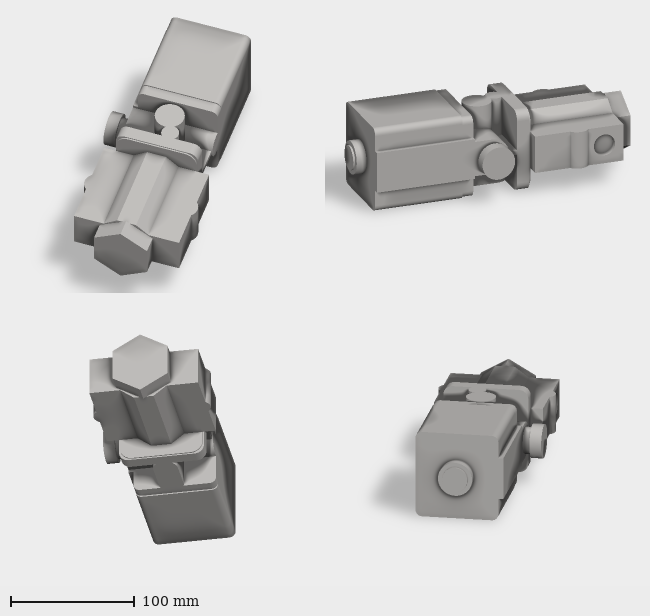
import cadquery as cq


nut_end = 14.3
block_end = 90.5
spacer_end = 91.7
flange_end = 102.5
motor_start = 139.2
motor_shoulder = 148.4
motor_end = 224.0
gland_end = 232.4
total_length = 234.0

nut_across_flats = 45.2
block_left = -44.5
block_right = 45.2
block_half_height = 16.0
ridge_half_width = 19.2
ridge_flat_left = -7.7
ridge_flat_right = 8.5
ridge_half_height = 24.3
boss_radius = 10.0
boss_offset = 38.1
boss_y = (nut_end + block_end) / 2
port_radius = 9.1
port_y = 30.7
port_depth = 5.1

flange_size = 70.0
flange_center_x = 0.2
flange_corner = 7.7
spacer_inset = 1.0
spacer_corner = 10.0

motor_center_x = 2.0
motor_width = 68.0
motor_height = 72.0
shoulder_height = flange_size
motor_corner = 5.4
band_left = -36.0
band_half_height = 17.3
gland_radius = 14.0
gland_tip_radius = 10.3

web_half_height = 1.9
stem_x = 0.2
stem_y = 124.5
stem_radius = 12.2
pin_x = 6.3
pin_y = 107.5
pin_radius = 7.3
body_top = flange_size / 2
inlet_radius = 15.0
outlet_radius = 10.0
outlet_y = 135.7
outlet_right = motor_center_x + motor_width / 2
duct_front_y = 110.2

neck_radius = 11.0
wheel_radius = 14.0
wheel_right = -42.1
wheel_left = -51.7


def box(x0, x1, y0, y1, z0, z1):
    """Box between two limits on each axis."""
    return cq.Workplane("XY").box(x1 - x0, y1 - y0, z1 - z0, centered=False).translate((x0, y0, z0))


def section(y):
    """Sketch plane across the Y axis: local x is X, local y is Z; negative depths run toward +Y."""
    return cq.Workplane("XZ", origin=(0, y, 0))


def rounded_bar(center_x, width, height, corner, y0, y1):
    """Bar along Y with four rounded long edges."""
    bar = section(y0).center(center_x, 0).rect(width, height).extrude(y0 - y1)
    return bar.edges("|Y").fillet(corner)


def rod_x(radius, y, x0, x1):
    """Round rod along X at Z = 0."""
    return cq.Workplane("YZ", origin=(x0, y, 0)).circle(radius).extrude(x1 - x0)


def rod_y(radius, x, y0, y1):
    """Round rod along Y at Z = 0."""
    return section(y0).center(x, 0).circle(radius).extrude(y0 - y1)


def rod_z(radius, x, y, z0, z1):
    """Round rod along Z."""
    return cq.Workplane("XY", origin=(x, y, z0)).circle(radius).extrude(z1 - z0)


def passage(radius, y, x0, x1):
    """Passage along X: round toward the flange, flat-sided back to the motor."""
    back = box(x0, x1, y, motor_start, -radius, radius)
    return rod_x(radius, y, x0, x1).union(back)


def hex_nut():
    """Nut with one pair of flats facing -X and +X."""
    return section(0).polygon(6, nut_across_flats, circumscribed=True).extrude(-nut_end)


def port_block():
    """Block with an eight-sided ridge, a round boss at each end and a blind port on the left."""
    block = box(block_left, block_right, nut_end, block_end, -block_half_height, block_half_height)
    ridge_outline = [
        (-ridge_half_width, block_half_height),
        (ridge_flat_left, ridge_half_height),
        (ridge_flat_right, ridge_half_height),
        (ridge_half_width, block_half_height),
        (ridge_half_width, -block_half_height),
        (ridge_flat_right, -ridge_half_height),
        (ridge_flat_left, -ridge_half_height),
        (-ridge_half_width, -block_half_height),
    ]
    block = block.union(section(nut_end).polyline(ridge_outline).close().extrude(nut_end - block_end))
    for x in (-boss_offset, boss_offset):
        block = block.union(rod_z(boss_radius, x, boss_y, -block_half_height, block_half_height))
    return block.cut(rod_x(port_radius, port_y, block_left, block_left + port_depth))


def flange():
    spacer_size = flange_size - 2 * spacer_inset
    spacer = rounded_bar(flange_center_x, spacer_size, spacer_size, spacer_corner, block_end, spacer_end)
    plate = rounded_bar(flange_center_x, flange_size, flange_size, flange_corner, spacer_end, flange_end)
    return spacer.union(plate)


def valve_body():
    web_left = flange_center_x - flange_size / 2
    web_right = flange_center_x + flange_size / 2
    body = box(web_left, web_right, flange_end, motor_start, -web_half_height, web_half_height)
    body = body.union(passage(inlet_radius, stem_y, band_left, motor_center_x))
    body = body.union(passage(outlet_radius, outlet_y, motor_center_x, outlet_right))
    body = body.union(rod_z(stem_radius, stem_x, stem_y, 0, body_top))
    body = body.union(rod_z(pin_radius, pin_x, pin_y, 0, body_top))
    return body.union(lower_duct())


def lower_duct():
    """Oblong duct below the web, its ends running into the flange and the motor."""
    duct = box(-outlet_radius, outlet_radius, duct_front_y, outlet_y, -body_top, 0)
    for y in (duct_front_y, outlet_y):
        duct = duct.union(rod_z(outlet_radius, 0, y, -body_top, 0))
    return duct


def motor():
    housing = rounded_bar(
        motor_center_x, motor_width, motor_height, motor_corner, motor_shoulder, motor_end
    )
    shoulder = rounded_bar(
        motor_center_x, motor_width, shoulder_height, motor_corner, motor_start, motor_shoulder
    )
    band = box(band_left, motor_center_x, motor_start, motor_end, -band_half_height, band_half_height)
    gland = rod_y(gland_radius, motor_center_x, motor_end, gland_end)
    gland_tip = rod_y(gland_tip_radius, motor_center_x, gland_end, total_length)
    return housing.union(shoulder).union(band).union(gland).union(gland_tip)


def handwheel():
    neck = rod_x(neck_radius, stem_y, wheel_right, band_left)
    wheel = rod_x(wheel_radius, stem_y, wheel_left, wheel_right)
    return neck.union(wheel)


result = hex_nut()
for piece in (port_block(), flange(), valve_body(), motor(), handwheel()):
    result = result.union(piece)